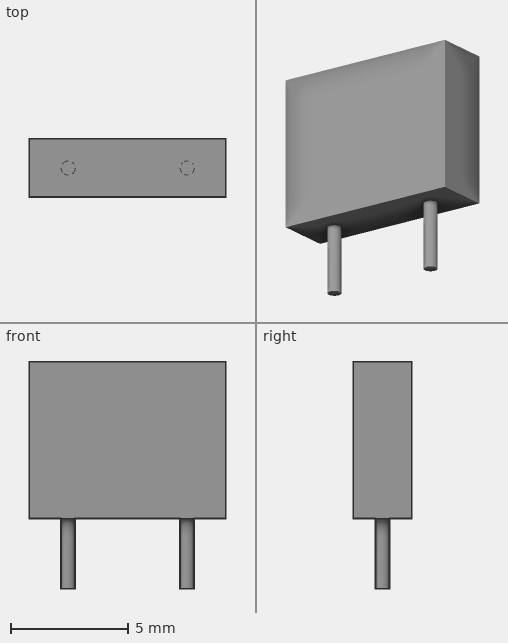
import cadquery as cq

body_width = 8.4
body_depth = 2.5
total_height = 9.7

lead_length = 3.0
lead_diameter = 0.6
lead_spacing = 5.08

body_height = total_height - lead_length

body = cq.Workplane("XY").box(body_width, body_depth, body_height, centered=(True, True, False))

leads = (
    cq.Workplane("XY")
    .pushPoints([(-lead_spacing / 2, 0), (lead_spacing / 2, 0)])
    .circle(lead_diameter / 2)
    .extrude(-lead_length)
)

result = body.union(leads)